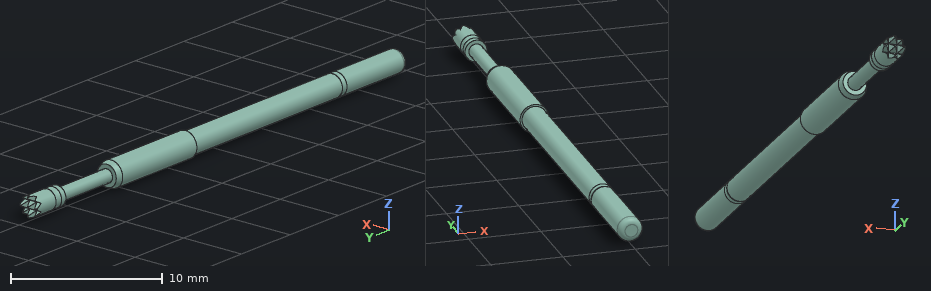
import cadquery as cq
import math

total_length = 38.3
barrel_groove_center = 6.55
collar_start = 22.0
collar_end = 30.1
head_length = 3.05
head_start = total_length - head_length
head_groove_center = head_start + 0.73

barrel_diameter = 1.72
collar_diameter = 2.0
plunger_diameter = 1.0
head_diameter = 1.55

barrel_groove_width = 0.45
barrel_groove_depth = 0.095
head_groove_width = 0.57
head_groove_depth = 0.057

tail_fillet = 0.42
collar_taper_length = 0.45
collar_taper_depth = 0.172

tooth_pitch = 0.6
tooth_depth = 0.57
crown_chamfer = 0.15


def add_round_groove(profile, radius, center, width, depth):
    """Continue a profile up to a rounded groove in a cylinder and along its arc."""
    return profile.lineTo(center - width / 2, radius).threePointArc(
        (center, radius - depth), (center + width / 2, radius)
    )


def body_of_revolution():
    """Stepped probe turned about the Y axis; profile points are (y, radius)."""
    barrel = barrel_diameter / 2
    collar = collar_diameter / 2
    plunger = plunger_diameter / 2
    head = head_diameter / 2

    fillet_center_radius = barrel - tail_fillet
    fillet_mid = tail_fillet * math.sqrt(0.5)
    profile = (
        cq.Workplane("YZ")
        .lineTo(0, fillet_center_radius)
        .threePointArc(
            (tail_fillet - fillet_mid, fillet_center_radius + fillet_mid),
            (tail_fillet, barrel),
        )
    )
    profile = add_round_groove(
        profile, barrel, barrel_groove_center, barrel_groove_width, barrel_groove_depth
    )
    profile = (
        profile.lineTo(collar_start, barrel)
        .lineTo(collar_start, collar)
        .lineTo(collar_end - collar_taper_length, collar)
        .lineTo(collar_end, collar - collar_taper_depth)
        .lineTo(collar_end, plunger)
        .lineTo(head_start, plunger)
        .lineTo(head_start, head)
    )
    profile = add_round_groove(
        profile, head, head_groove_center, head_groove_width, head_groove_depth
    )
    profile = (
        profile.lineTo(total_length - crown_chamfer, head)
        .lineTo(total_length, head - crown_chamfer)
        .lineTo(total_length, 0)
        .close()
    )
    return profile.revolve(360, (0, 0, 0), (1, 0, 0))


def tooth_groove(offset):
    """V-groove across the head along Z, centred at the given X offset."""
    return (
        cq.Workplane("XY")
        .moveTo(offset - tooth_pitch / 2, total_length)
        .lineTo(offset, total_length - tooth_depth)
        .lineTo(offset + tooth_pitch / 2, total_length)
        .close()
        .extrude(head_diameter, both=True)
    )


result = body_of_revolution()
for groove_offset in (-tooth_pitch / 2, tooth_pitch / 2):
    groove_along_z = tooth_groove(groove_offset)
    groove_along_x = groove_along_z.rotate((0, 0, 0), (0, 1, 0), 90)
    result = result.cut(groove_along_z).cut(groove_along_x)